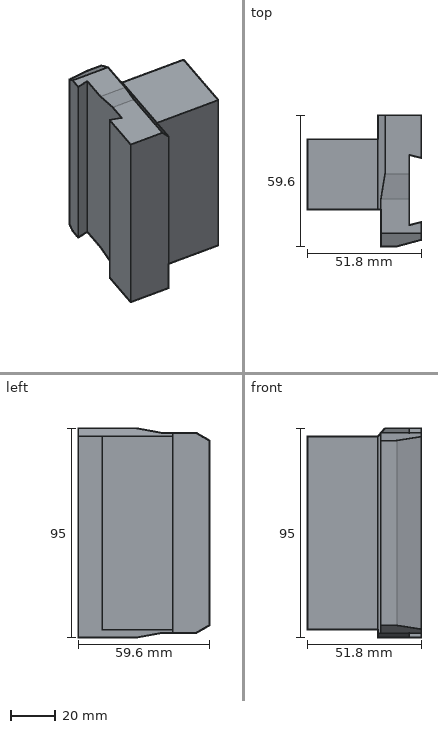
import cadquery as cq

TOTAL_X = 51.8
TOTAL_Y = 59.6
HEIGHT = 95.0

BLOCK_SIDE = 32.0
BLOCK_FRONT = 16.7

STEP_DEPTH = 1.3
TAPER_START = 7.1
TAPER_DEPTH = 3.0
END_DROP = 2.1
DROP_FRONT = 21.8
DROP_REAR = 33.1
CORNER_Y = 6.1
CORNER_Z = 3.5
CHAMFER_X = 3.2
CHAMFER_Z = 3.7

SLOT_DEPTH = 5.5
SLOT_FRONT = 11.2
SLOT_REAR = 40.1
SLOT_UNDERCUT = 1.4

BRACKET_X = BLOCK_SIDE
WING_X = BRACKET_X + STEP_DEPTH
SLOT_FLOOR_X = TOTAL_X - SLOT_DEPTH
HALF_HEIGHT = HEIGHT / 2
WING_HALF_HEIGHT = HALF_HEIGHT - END_DROP
CORNER_HALF_HEIGHT = WING_HALF_HEIGHT - CORNER_Z
BLOCK_HALF_HEIGHT = HALF_HEIGHT - CHAMFER_Z


def make_block():
    """Square bar lying flat against the bracket."""
    return cq.Workplane("XY").box(
        BLOCK_SIDE, BLOCK_SIDE, 2 * BLOCK_HALF_HEIGHT, centered=(False, False, True)
    ).translate((0, BLOCK_FRONT, 0))


def bracket_section():
    """Cross-section with the dovetail slot, extruded over the full height."""
    return (
        cq.Workplane("XY", origin=(0, 0, -HALF_HEIGHT))
        .moveTo(WING_X, 0)
        .lineTo(WING_X + TAPER_START, 0)
        .lineTo(TOTAL_X, TAPER_DEPTH)
        .lineTo(TOTAL_X, SLOT_FRONT)
        .lineTo(SLOT_FLOOR_X, SLOT_FRONT - SLOT_UNDERCUT)
        .lineTo(SLOT_FLOOR_X, SLOT_REAR + SLOT_UNDERCUT)
        .lineTo(TOTAL_X, SLOT_REAR)
        .lineTo(TOTAL_X, TOTAL_Y)
        .lineTo(BRACKET_X, TOTAL_Y)
        .lineTo(BRACKET_X, BLOCK_FRONT)
        .lineTo(WING_X, BLOCK_FRONT)
        .close()
        .extrude(HEIGHT)
    )


def side_profile():
    """Outline in Y and Z, alike at both ends, extruded across the part in X."""
    upper_half = [
        (0, CORNER_HALF_HEIGHT),
        (CORNER_Y, WING_HALF_HEIGHT),
        (DROP_FRONT, WING_HALF_HEIGHT),
        (DROP_REAR, HALF_HEIGHT),
        (TOTAL_Y, HALF_HEIGHT),
    ]
    lower_half = [(y, -z) for y, z in reversed(upper_half)]
    return cq.Workplane("YZ").polyline(upper_half + lower_half).close().extrude(TOTAL_X)


def top_chamfer():
    """Wedge to remove along the top edge, from the front of the block to the rear."""
    return (
        cq.Workplane("XZ", origin=(0, BLOCK_FRONT, 0))
        .moveTo(BRACKET_X, BLOCK_HALF_HEIGHT)
        .lineTo(BRACKET_X + CHAMFER_X, HALF_HEIGHT)
        .lineTo(BRACKET_X, HALF_HEIGHT)
        .close()
        .extrude(BLOCK_FRONT - TOTAL_Y)
    )


def make_bracket():
    """Slotted bracket with shaped ends and a chamfered top edge."""
    return bracket_section().intersect(side_profile()).cut(top_chamfer())


block = make_block()
bracket = make_bracket()
result = cq.Compound.makeCompound([*block.solids().vals(), *bracket.solids().vals()])